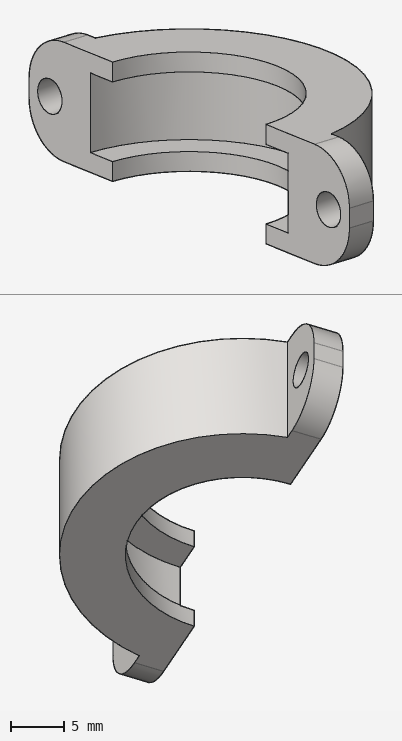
import cadquery as cq

clamp_length = 46.0
clamp_height = 12.0

bore_radius = 11.0
groove_radius = 14.2
groove_wall = 3.0
groove_lip_height = 2.0
groove_height = clamp_height - 2 * groove_lip_height
ring_radius = groove_radius + groove_wall

ear_thickness = 3.0
ear_corner_radius = 5.0
screw_diameter = 3.5
screw_spacing = 40.0


def disc(radius, height):
    """Cylinder on the Z axis, centred on mid-height."""
    return cq.Workplane("XY").cylinder(height, radius)


def half_disc(radius, height):
    """The +Y half of a disc."""
    keep = cq.Workplane("XY").box(
        2 * radius, radius, height, centered=(True, False, True)
    )
    return disc(radius, height).intersect(keep)


def ear_plate():
    """Rounded plate along the mating face that forms both ears."""
    plate = cq.Workplane("XY").box(
        clamp_length, ear_thickness, clamp_height, centered=(True, False, True)
    )
    return plate.edges("|Y").fillet(ear_corner_radius)


def screw_holes():
    """Cutters for the screw holes, running along Y through the ears."""
    return (
        cq.Workplane("XZ")
        .pushPoints([(-screw_spacing / 2, 0), (screw_spacing / 2, 0)])
        .circle(screw_diameter / 2)
        .extrude(-ear_thickness)
    )


body = half_disc(ring_radius, clamp_height).union(ear_plate())
body = body.cut(disc(bore_radius, clamp_height))
body = body.cut(disc(groove_radius, groove_height))
result = body.cut(screw_holes())